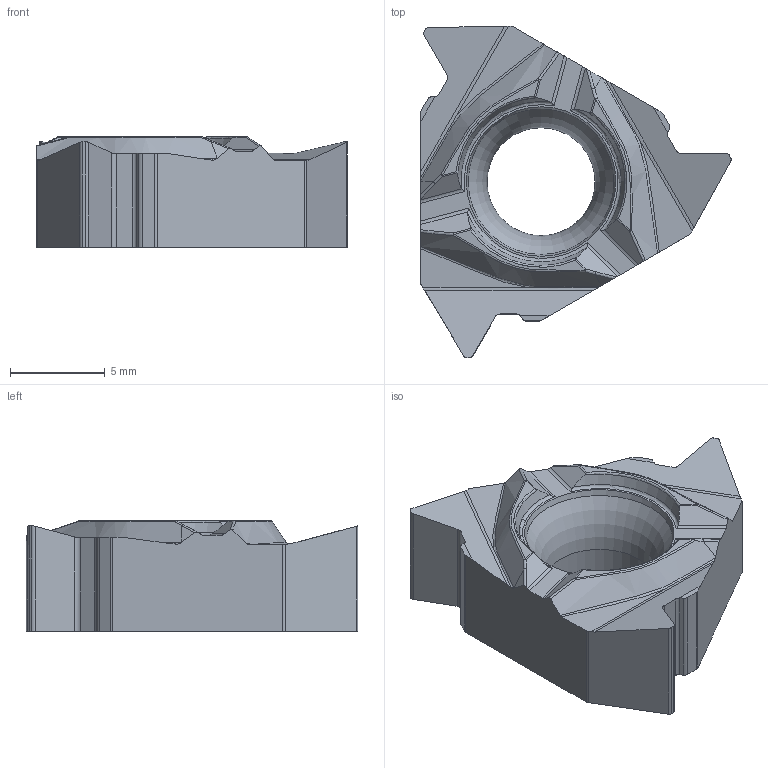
import cadquery as cq
import math

CORNERS = 3
CORNER_PITCH = 360 / CORNERS
TOLERANCE = 1e-3
INSCRIBED_RADIUS = 6.35
THICKNESS = 5.84
BASE_RADIUS = 2 * INSCRIBED_RADIUS
FLOOR_Z = 4.6

SHOULDER_Y = -5.42
TIP_Y = -9.3
TIP_LEFT_X = -4.02
TIP_RIGHT_X = -3.66
NOTCH_Y = -6.99
TOOTH_FLANK_ANGLE = 30
NOTCH_START_X = TIP_RIGHT_X + (NOTCH_Y - TIP_Y) * math.tan(math.radians(TOOTH_FLANK_ANGLE))
NOTCH_END_X = -1.16
STEP_Y = -7.36
STEP_START_X = -0.91
SHOULDER_ROUND = 0.25
TIP_ROUND = 0.18
NOTCH_ROUND = 0.3
STEP_ROUND = 0.25

LAND_START_Y = -5.69
LAND_ANGLE = 15
LAND_BLEND_RADIUS = 0.65
LAND_OVERRUN = 1.0
STEP_FACET_Y = -7.09

CREST_LEAD = (-6.59, -2.09)
CREST_BENDS = [(-4.6, -2.84), (-1.9, -4.35), (-0.6, -4.69), (0.7, -4.74)]
CREST_STRAIGHT_END = (2.74, -4.74)
FOOT_LEAD = (-8.04, -2.84)
FOOT_BENDS = [(-5.2, -3.93), (-1.7, -5.3), (-0.6, -5.54), (0.7, -5.57)]
FOOT_STRAIGHT_END = (3.22, -5.57)
CREST_ROUND = 0.12
FOOT_BLEND = 0.15

CHANNEL_FLOOR_Z = 5.08
CHANNEL_FLOOR_WIDTH = 1.1
CHANNEL_WALL_ANGLE = 37.5
CHANNEL_DIRECTION = 195
CHANNEL_OFFSET = -0.08
CHANNEL_FLOOR_BLEND = 0.29
LIP_CLEARANCE = 0.1

HOLE_RADIUS = 5.7 / 2
SEAT_BOTTOM_Z = 2.0
SEAT_TOP_Z = 4.77
SEAT_TOP_RADIUS = 3.85
RIM_RADIUS = 3.95
LEDGE_RADIUS = 4.06
WALL_FOOT_RADIUS = 4.24
WALL_FOOT_RISE = 0.13
WALL_TOP_RADIUS = 4.43
LIP_ROUND = 0.1


def turned(point, index):
    """Plan point carried to the corner with the given index."""
    angle = math.radians(index * CORNER_PITCH)
    x, y = point
    return (x * math.cos(angle) - y * math.sin(angle), x * math.sin(angle) + y * math.cos(angle))


def around(points):
    """Points of one corner repeated counter-clockwise around the axis."""
    return [turned(point, index) for index in range(CORNERS) for point in points]


def copies(solid):
    """One workpiece per corner, turned about the hole axis."""
    return [solid.rotate((0, 0, 0), (0, 0, 1), index * CORNER_PITCH) for index in range(CORNERS)]


def side_x(y):
    """X on the side that follows the -Y corner, tangent to the inscribed circle."""
    normal_angle = math.radians(180 + CORNER_PITCH)
    return (INSCRIBED_RADIUS - y * math.sin(normal_angle)) / math.cos(normal_angle)


def round_corners(solid, points, radius):
    """Round the upright edges above the given plan points at every corner."""
    targets = around(points)

    def on_target(edge):
        centre = edge.Center()
        return any(math.dist((centre.x, centre.y), target) < TOLERANCE for target in targets)

    return solid.edges("|Z").filter(on_target).fillet(radius)


def outline_prism():
    """Full-height prism with three cutting teeth."""
    shoulder = (-INSCRIBED_RADIUS, SHOULDER_Y)
    tip = [(TIP_LEFT_X, TIP_Y), (TIP_RIGHT_X, TIP_Y)]
    notch_start = (NOTCH_START_X, NOTCH_Y)
    notch_end = (NOTCH_END_X, NOTCH_Y)
    step_start = (STEP_START_X, STEP_Y)
    step_end = (side_x(STEP_Y), STEP_Y)
    corner = [shoulder, *tip, notch_start, notch_end, step_start, step_end]
    prism = cq.Workplane("XY").polyline(around(corner)).close().extrude(THICKNESS)
    prism = round_corners(prism, tip, TIP_ROUND)
    prism = round_corners(prism, [shoulder, step_end], SHOULDER_ROUND)
    prism = round_corners(prism, [notch_start], NOTCH_ROUND)
    return round_corners(prism, [notch_end, step_start], STEP_ROUND)


def land():
    """Wedge on the floor, sloping up toward the -Y tip, with a blended valley."""
    slope = math.radians(LAND_ANGLE)
    blend = LAND_BLEND_RADIUS * math.tan(slope / 2)
    end_y = TIP_Y - LAND_OVERRUN
    rise = (LAND_START_Y - end_y) * math.tan(slope)
    blend_end = (LAND_START_Y - blend * math.cos(slope), FLOOR_Z + blend * math.sin(slope))
    wedge = (
        cq.Workplane("YZ", origin=(-INSCRIBED_RADIUS, 0, 0))
        .moveTo(end_y, 0)
        .lineTo(LAND_START_Y + blend, 0)
        .lineTo(LAND_START_Y + blend, FLOOR_Z)
        .radiusArc(blend_end, -LAND_BLEND_RADIUS)
        .lineTo(end_y, FLOOR_Z + rise)
        .close()
        .extrude(2 * INSCRIBED_RADIUS)
    )
    facet_z = FLOOR_Z + (LAND_START_Y - STEP_FACET_Y) * math.tan(slope)
    facet = (
        cq.Workplane("XY", origin=(0, 0, facet_z))
        .moveTo(NOTCH_END_X, STEP_FACET_Y)
        .lineTo(INSCRIBED_RADIUS, STEP_FACET_Y)
        .lineTo(INSCRIBED_RADIUS, end_y)
        .lineTo(NOTCH_END_X, end_y)
        .close()
        .extrude(THICKNESS)
    )
    return wedge.cut(facet)


def island_outline(lead, bends, straight_end, z):
    """Closed wire at height z: one curve and one straight stretch per corner."""
    edges = []
    for index in range(CORNERS):
        curve = [turned(point, index) for point in [lead, *bends, straight_end]]
        curve = [cq.Vector(x, y, z) for x, y in curve]
        next_lead = cq.Vector(*turned(lead, index + 1), z)
        end_tangents = [(curve[1] - curve[0]).normalized(), (curve[-1] - curve[-2]).normalized()]
        edges.append(cq.Edge.makeSpline(curve, tangents=end_tangents))
        edges.append(cq.Edge.makeLine(curve[-1], next_lead))
    return cq.Wire.assembleEdges(edges)


def island():
    """Chip-breaker island with flanks ruled from foot to crest."""
    foot = island_outline(FOOT_LEAD, FOOT_BENDS, FOOT_STRAIGHT_END, FLOOR_Z)
    crest = island_outline(CREST_LEAD, CREST_BENDS, CREST_STRAIGHT_END, THICKNESS)
    return cq.Workplane(cq.Solid.makeLoft([foot, crest], True))


def channel():
    """Trapezoidal groove from the hole axis to the -X side, with blended floor edges."""
    depth = THICKNESS - CHANNEL_FLOOR_Z
    half_floor = CHANNEL_FLOOR_WIDTH / 2
    half_top = half_floor + depth / math.tan(math.radians(CHANNEL_WALL_ANGLE))
    groove = (
        cq.Workplane("YZ", origin=(0, CHANNEL_OFFSET, 0))
        .moveTo(-half_floor, CHANNEL_FLOOR_Z)
        .lineTo(half_floor, CHANNEL_FLOOR_Z)
        .lineTo(half_top, THICKNESS)
        .lineTo(-half_top, THICKNESS)
        .close()
        .extrude(2 * INSCRIBED_RADIUS)
    )
    groove = groove.faces("<Z").edges("|X").fillet(CHANNEL_FLOOR_BLEND)
    return groove.rotate((0, 0, 0), (0, 0, 1), CHANNEL_DIRECTION)


def screw_hole():
    """Through hole, flared screw seat, narrow ledge and tapered counterbore."""
    seat_width = SEAT_TOP_RADIUS - HOLE_RADIUS
    seat_depth = SEAT_TOP_Z - SEAT_BOTTOM_Z
    seat_radius = (seat_width**2 + seat_depth**2) / (2 * seat_width)
    wall_foot_z = CHANNEL_FLOOR_Z + WALL_FOOT_RISE
    return (
        cq.Workplane("XZ")
        .lineTo(HOLE_RADIUS, 0)
        .lineTo(HOLE_RADIUS, SEAT_BOTTOM_Z)
        .radiusArc((SEAT_TOP_RADIUS, SEAT_TOP_Z), seat_radius)
        .lineTo(RIM_RADIUS, CHANNEL_FLOOR_Z)
        .lineTo(LEDGE_RADIUS, CHANNEL_FLOOR_Z)
        .tangentArcPoint((WALL_FOOT_RADIUS, wall_foot_z), relative=False)
        .lineTo(WALL_TOP_RADIUS, THICKNESS - LIP_ROUND)
        .radiusArc((WALL_TOP_RADIUS + LIP_ROUND, THICKNESS), LIP_ROUND)
        .lineTo(0, THICKNESS)
        .close()
        .revolve(360, (0, 0, 0), (0, 1, 0))
    )


def channelled_island():
    """Island crossed by its channels, with crest and channel lips rounded."""
    grooved = island()
    for groove in copies(channel()):
        grooved = grooved.cut(groove)

    def is_lip(edge):
        is_high = edge.Center().z > CHANNEL_FLOOR_Z + LIP_CLEARANCE
        return is_high and edge.BoundingBox().zmin > CHANNEL_FLOOR_Z

    return grooved.edges().filter(is_lip).fillet(CREST_ROUND)


def top_form():
    """Everything under the chip-forming top: floor, blended island and lands."""
    base = cq.Workplane("XY").circle(BASE_RADIUS).extrude(FLOOR_Z)
    form = base.union(channelled_island())

    def is_floor(face):
        return abs(face.Center().z - FLOOR_Z) < TOLERANCE

    form = form.faces("|Z").filter(is_floor).edges("not %CIRCLE").fillet(FOOT_BLEND)
    for wedge in copies(land()):
        form = form.union(wedge)
    return form


result = outline_prism().intersect(top_form()).cut(screw_hole())